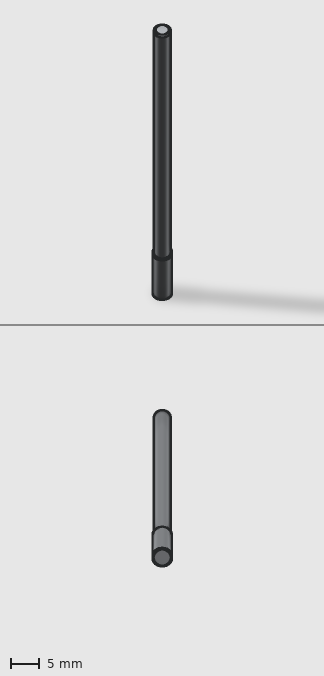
import cadquery as cq

total_length = 70.0
rod_diameter = 3.0
base_diameter = 3.5
base_length = 11.0

rod_tip_chamfer = 0.35
base_chamfer = (base_diameter - rod_diameter) / 2


def make_base():
    """Thicker cylinder standing on Z = 0, with a conical shoulder on top."""
    base = cq.Workplane("XY").circle(base_diameter / 2).extrude(base_length)
    base = base.faces("<Z").chamfer(base_chamfer)
    return base.faces(">Z").chamfer(base_chamfer)


def make_rod():
    """Long slim cylinder resting on the base, chamfered at its free end."""
    rod = (
        cq.Workplane("XY")
        .workplane(offset=base_length)
        .circle(rod_diameter / 2)
        .extrude(total_length - base_length)
    )
    return rod.faces(">Z").chamfer(rod_tip_chamfer)


base = make_base()
rod = make_rod()

result = cq.Compound.makeCompound([base.val(), rod.val()])